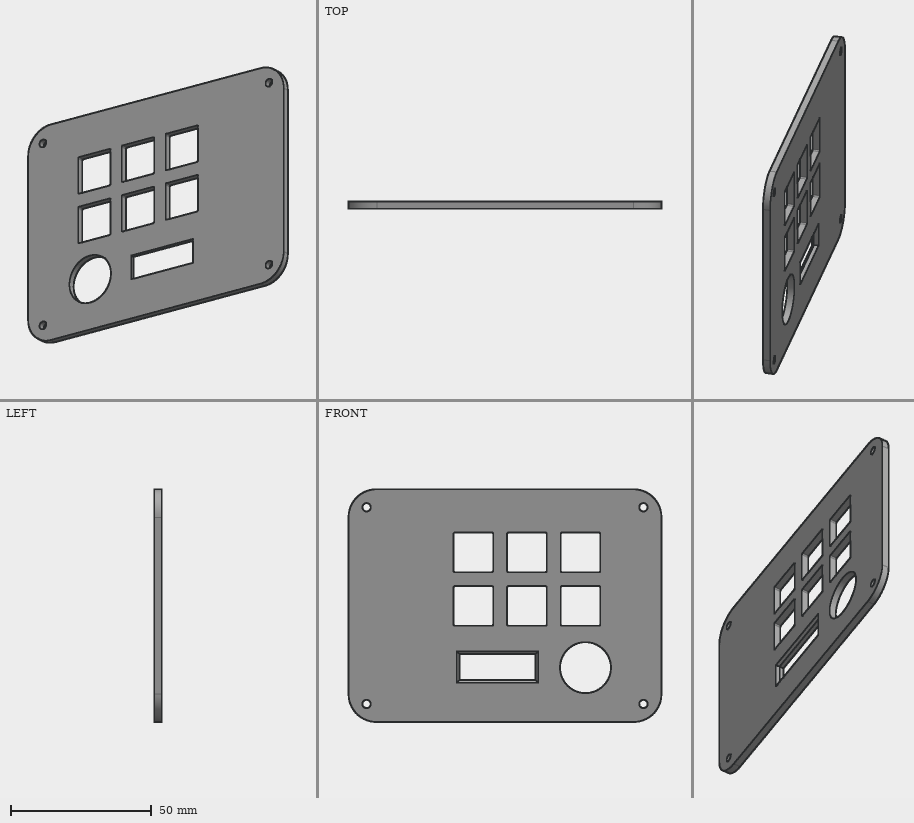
import cadquery as cq

plate_width = 111.4
plate_thickness = 2.7
plate_height = 82.9
corner_radius = 10
front_y = -plate_thickness / 2

mount_diameter = 2.9
mount_inset = 6.5

key_size = 14.0
key_pitch = 19.0
key_corner_radius = 0.5
key_columns = 3
key_rows = 2
first_key_x = -11.3
top_key_z = 18.9

display_width = 27.0
display_height = 9.1
display_x = -2.7
display_z = -21.8
display_bevel = 1.0

dial_diameter = 18.0
dial_x = 28.6
dial_z = -22.1


def block(width, height, x=0, z=0):
    """Box through the full plate thickness, centred at (x, z)."""
    return cq.Workplane("XY").box(width, plate_thickness, height).translate((x, 0, z))


def round_cutter(diameter, points):
    """Cylinders through the plate at the given (x, z) points."""
    return (
        cq.Workplane("XZ", origin=(0, front_y, 0))
        .pushPoints(points)
        .circle(diameter / 2)
        .extrude(-plate_thickness)
    )


def key_cutter():
    """Grid of square windows with slightly rounded corners."""
    cutter = cq.Workplane("XY")
    for column in range(key_columns):
        for row in range(key_rows):
            x = first_key_x + column * key_pitch
            z = top_key_z - row * key_pitch
            window = block(key_size, key_size, x, z).edges("|Y").fillet(key_corner_radius)
            cutter = cutter.add(window)
    return cutter.combine()


def display_cutter():
    """Rectangular window that flares out at 45 degrees towards the front face."""
    opening = block(display_width, display_height, display_x, display_z)
    flare = (
        cq.Workplane("XZ", origin=(display_x, front_y, display_z))
        .rect(display_width + 2 * display_bevel, display_height + 2 * display_bevel)
        .workplane(offset=-display_bevel)
        .rect(display_width, display_height)
        .loft(ruled=True)
    )
    return opening.union(flare)


mount_x = plate_width / 2 - mount_inset
mount_z = plate_height / 2 - mount_inset
mount_points = [(sx * mount_x, sz * mount_z) for sx in (-1, 1) for sz in (-1, 1)]

plate = block(plate_width, plate_height).edges("|Y").fillet(corner_radius)
result = (
    plate.cut(round_cutter(mount_diameter, mount_points))
    .cut(key_cutter())
    .cut(display_cutter())
    .cut(round_cutter(dial_diameter, [(dial_x, dial_z)]))
)